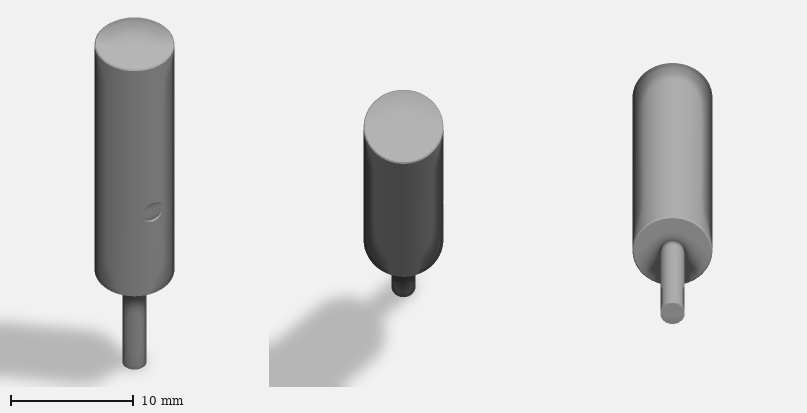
import cadquery as cq

total_length = 35.0
body_diameter = 6.5
body_length = 25.0
body_edge_chamfer = 0.1
stem_diameter = 2.0
window_diameter = 2.0
window_depth = 0.2
window_height = 19.05

stem_length = total_length - body_length

body = (
    cq.Workplane("XY")
    .workplane(offset=stem_length)
    .circle(body_diameter / 2)
    .extrude(body_length)
    .faces("<Z or >Z")
    .edges()
    .chamfer(body_edge_chamfer)
)

stem = cq.Workplane("XY").circle(stem_diameter / 2).extrude(stem_length)

window_floor = body_diameter / 2 - window_depth
window = (
    cq.Workplane("YZ", origin=(window_floor, 0, window_height))
    .circle(window_diameter / 2)
    .extrude(body_diameter / 2)
)

result = body.union(stem).cut(window)